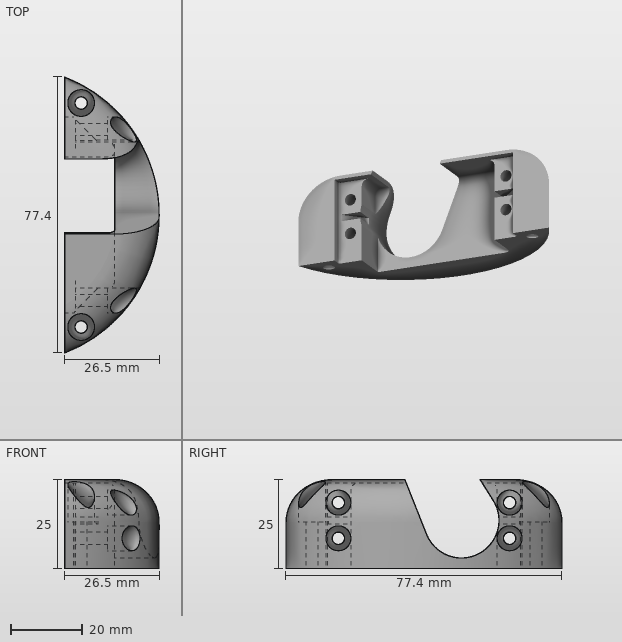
import cadquery as cq
import math

DISC_RADIUS = 41.5
FLAT_OFFSET = 15.0
HEIGHT = 25.0
EDGE_RADIUS = 12.0

LID_THICKNESS = 1.0
CEILING_Z = HEIGHT - LID_THICKNESS
CAVITY_DEPTH = 14.0
CAVITY_HALF_WIDTH = 20.5
CAVITY_FILLET = 2.0

BLOCK_WIDTH = 7.0
RECESS_DEPTH = 3.0
RECESS_HALF_WIDTH = CAVITY_HALF_WIDTH + BLOCK_WIDTH
RECESS_CHAMFER = 0.5

BORE_RADIUS = 10.5
BORE_Y = 10.5
BORE_Z = 13.5
MOUTH_ANGLE_PLUS_Y = 32.0
MOUTH_ANGLE_MINUS_Y = 21.6
CUT_MARGIN = 5.0

SCREW_DIAMETER = 3.4
BLOCK_SCREW_Y = 24.0
BLOCK_SCREW_PITCH = 10.0
BLOCK_SCREW_LEVELS = (BORE_Z - BLOCK_SCREW_PITCH / 2, BORE_Z + BLOCK_SCREW_PITCH / 2)
BLOCK_HEAD_DIAMETER = 7.0
BLOCK_HEAD_SEAT_X = 12.0
UPRIGHT_SCREW_X = 4.6
UPRIGHT_SCREW_Y = 31.4
UPRIGHT_HEAD_DIAMETER = 7.5
UPRIGHT_HEAD_SEAT_Z = HEIGHT - EDGE_RADIUS

CORNER_SLOT_LEG = 6.3
CORNER_SLOT_HEIGHT = 1.9

BOTH_SIDES = (1, -1)


def make_shell():
    side_top = HEIGHT - EDGE_RADIUS
    lid_radius = DISC_RADIUS - EDGE_RADIUS
    arc_reach = EDGE_RADIUS * math.sqrt(0.5)
    disc = (
        cq.Workplane("XZ")
        .lineTo(DISC_RADIUS, 0)
        .lineTo(DISC_RADIUS, side_top)
        .threePointArc((lid_radius + arc_reach, side_top + arc_reach), (lid_radius, HEIGHT))
        .lineTo(0, HEIGHT)
        .close()
        .revolve(360, (0, 0, 0), (0, 1, 0))
        .translate((-FLAT_OFFSET, 0, 0))
    )
    kept_side = cq.Workplane("XY").box(
        DISC_RADIUS, 2 * DISC_RADIUS, HEIGHT, centered=(False, True, False)
    )
    return disc.intersect(kept_side)


def make_cavity():
    pocket = (
        cq.Workplane("XY")
        .box(CAVITY_DEPTH, 2 * CAVITY_HALF_WIDTH, CEILING_Z, centered=(False, True, False))
        .edges("(>X and |Z) or (>Z and |X) or (>X and >Z)")
        .fillet(CAVITY_FILLET)
    )
    square_corner = (
        cq.Workplane("XY")
        .box(CAVITY_FILLET, CAVITY_FILLET, BORE_Z, centered=False)
        .translate((CAVITY_DEPTH - CAVITY_FILLET, CAVITY_HALF_WIDTH - CAVITY_FILLET, 0))
    )
    recess = (
        cq.Workplane("XY")
        .box(RECESS_DEPTH, 2 * RECESS_HALF_WIDTH, CEILING_Z, centered=(False, True, False))
        .edges(">X and |Z")
        .chamfer(RECESS_CHAMFER)
    )
    return pocket.union(square_corner).union(recess)


def make_bore():
    plus_angle = math.radians(MOUTH_ANGLE_PLUS_Y)
    minus_angle = math.radians(MOUTH_ANGLE_MINUS_Y)
    top = HEIGHT + CUT_MARGIN
    rise = top - BORE_Z

    plus_tangent = (
        BORE_Y + BORE_RADIUS * math.cos(plus_angle),
        BORE_Z + BORE_RADIUS * math.sin(plus_angle),
    )
    minus_tangent = (
        BORE_Y - BORE_RADIUS * math.cos(minus_angle),
        BORE_Z - BORE_RADIUS * math.sin(minus_angle),
    )
    plus_top_y = BORE_Y + (BORE_RADIUS - rise * math.sin(plus_angle)) / math.cos(plus_angle)
    minus_top_y = BORE_Y - (BORE_RADIUS + rise * math.sin(minus_angle)) / math.cos(minus_angle)

    return (
        cq.Workplane("YZ")
        .moveTo(plus_top_y, top)
        .lineTo(*plus_tangent)
        .threePointArc((BORE_Y, BORE_Z - BORE_RADIUS), minus_tangent)
        .lineTo(minus_top_y, top)
        .close()
        .extrude(DISC_RADIUS)
    )


def make_block_screw(side, z):
    y = side * BLOCK_SCREW_Y
    shank = cq.Workplane("YZ").center(y, z).circle(SCREW_DIAMETER / 2).extrude(DISC_RADIUS)
    head = (
        cq.Workplane("YZ", origin=(BLOCK_HEAD_SEAT_X, 0, 0))
        .center(y, z)
        .circle(BLOCK_HEAD_DIAMETER / 2)
        .extrude(DISC_RADIUS)
    )
    return shank.union(head)


def make_upright_screw(side):
    y = side * UPRIGHT_SCREW_Y
    shank = cq.Workplane("XY").center(UPRIGHT_SCREW_X, y).circle(SCREW_DIAMETER / 2).extrude(HEIGHT)
    head = (
        cq.Workplane("XY", origin=(0, 0, UPRIGHT_HEAD_SEAT_Z))
        .center(UPRIGHT_SCREW_X, y)
        .circle(UPRIGHT_HEAD_DIAMETER / 2)
        .extrude(HEIGHT)
    )
    return shank.union(head)


def make_corner_slot(side):
    return (
        cq.Workplane("XY", origin=(0, 0, BORE_Z - CORNER_SLOT_HEIGHT / 2))
        .moveTo(RECESS_DEPTH, side * CAVITY_HALF_WIDTH)
        .lineTo(RECESS_DEPTH + CORNER_SLOT_LEG, side * CAVITY_HALF_WIDTH)
        .lineTo(RECESS_DEPTH, side * (CAVITY_HALF_WIDTH + CORNER_SLOT_LEG))
        .close()
        .extrude(CORNER_SLOT_HEIGHT)
    )


result = make_shell().cut(make_cavity()).cut(make_bore())
for side in BOTH_SIDES:
    result = result.cut(make_upright_screw(side)).cut(make_corner_slot(side))
    for screw_z in BLOCK_SCREW_LEVELS:
        result = result.cut(make_block_screw(side, screw_z))